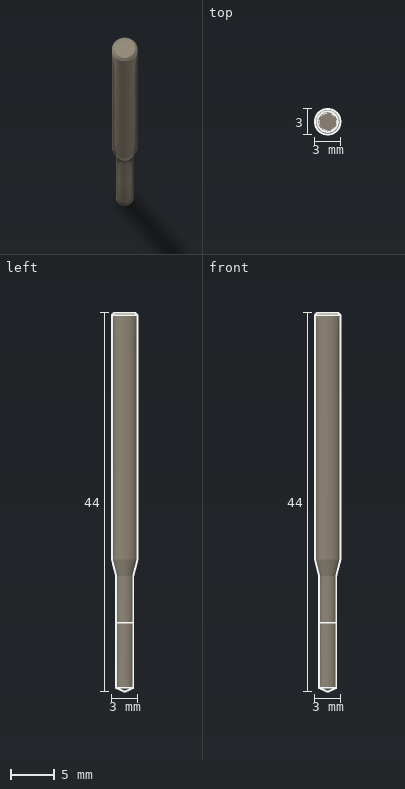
import cadquery as cq
import math

total_length = 44.0
shank_diameter = 3.0
drill_diameter = 2.02

top_chamfer = 0.3
shoulder_top_z = 15.35
neck_top_z = 13.45

joint_z = 8.0
point_angle = 130.0

shank_radius = shank_diameter / 2
drill_radius = drill_diameter / 2
point_height = drill_radius / math.tan(math.radians(point_angle / 2))


def revolve_profile(plane, points):
    """Revolve a closed (radius, height) outline around the Z axis."""
    return cq.Workplane(plane).polyline(points).close().revolve(360, (0, 0), (0, 1))


def make_shank():
    """Grip with its top chamfer, shoulder and neck."""
    return revolve_profile("YZ", [
        (0, joint_z),
        (drill_radius, joint_z),
        (drill_radius, neck_top_z),
        (shank_radius, shoulder_top_z),
        (shank_radius, total_length - top_chamfer),
        (shank_radius - top_chamfer, total_length),
        (0, total_length),
    ])


def make_drill_head():
    """Plain cylindrical head ending in the conical point."""
    return revolve_profile("XZ", [
        (0, 0),
        (drill_radius, point_height),
        (drill_radius, joint_z),
        (0, joint_z),
    ])


shank = make_shank()
drill_head = make_drill_head()

result = cq.Compound.makeCompound([shank.val(), drill_head.val()])